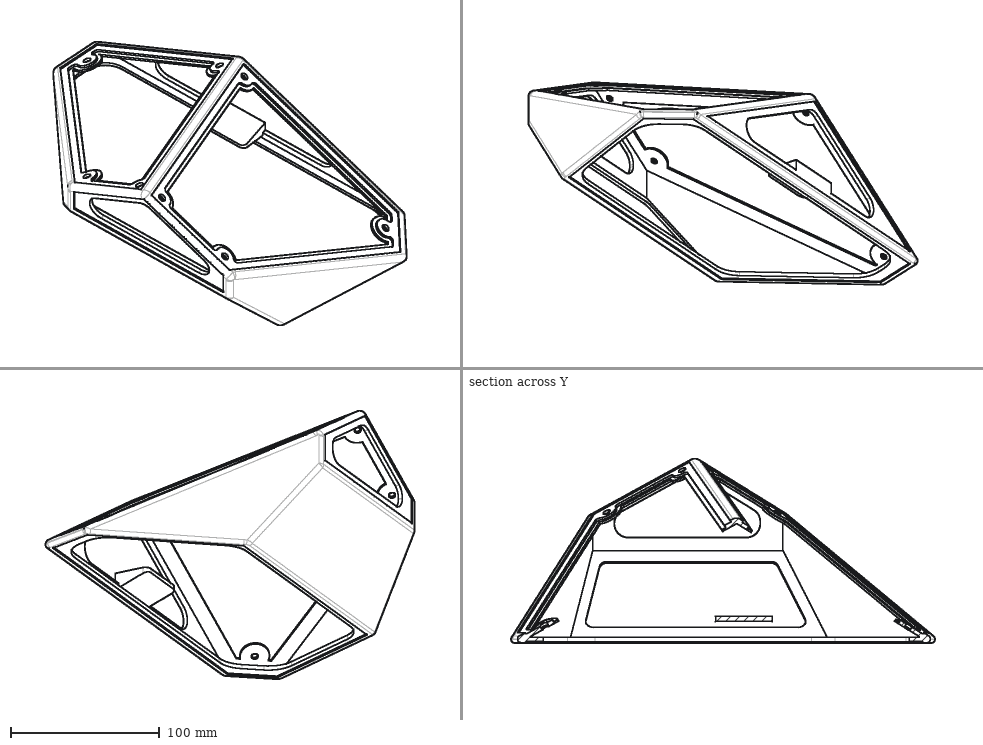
import cadquery as cq
depth = 163.57
skirt_height = 4.2

ridge_front = cq.Vector(162.3, 0, 126.15)
ridge_back = cq.Vector(128.2, depth, 77.6)
left_tip = cq.Vector(-0.47, 126.5, skirt_height)
left_back = cq.Vector(10.0, depth, skirt_height)
left_foot = cq.Vector(69.2, 39.0, 0)
right_tip = cq.Vector(285.66, 132.5, skirt_height)
right_back = cq.Vector(262.0, depth, skirt_height)
right_foot = cq.Vector(248.3, 39.0, 0)
sill_height = 61.0

ridge_radius = 5.0
front_edge_radius = 4.0
edge_radius = 4.5
tip_radius = 2.5
base_radius = 2.5

wall = 4.0
recess_inset = 5.0
recess_depth = 1.0

frame_width = 10.0
ledge_width = 3.0
ledge_depth = 1.5
window_corner_radius = 2.5
boss_radius = 7.0
insert_diameter = 5.12
insert_depth = 2.0
screw_diameter = 4.23
left_screws = [(17.0, 141.0), (118.8, 150.8), (150.8, 10.9), (105.3, 14.4)]
right_screws = [(139.9, 151.4), (263.4, 140.3), (221.2, 12.3), (170.5, 11.1)]

front_window_end_inset = 17.3
opening_radius = 9.0
floor_rim = 9.0
floor_tip_rim = 14.0
floor_corner_radius = 20.0

pocket_depth = 2.0
pocket_corner_radius = 5.0

bracket_center_x = 128.5
bracket_width = 40.0
bracket_reach = 26.0
bracket_top = 18.0
bracket_nose = 3.0
bracket_root = 11.0
bracket_corner_radius = 4.0

far = 1000.0
overcut = 1.0
tolerance = 1e-3


class Face:
    """A bounding plane of the housing: a point on it and its outward normal."""

    def __init__(self, point, normal):
        self.point = point
        self.normal = normal.normalized()

    def height(self, point):
        """Signed distance of a point outside the face."""
        return (point - self.point).dot(self.normal)

    def pushed_in(self, distance):
        return Face(self.point - self.normal * distance, self.normal)

    def plane(self):
        sideways = cq.Vector(0, 0, 1).cross(self.normal)
        if sideways.Length < tolerance:
            sideways = cq.Vector(1, 0, 0)
        return cq.Plane(self.point, sideways, self.normal)


def face_through(a, b, c):
    """The face through three points given counter-clockwise as seen from outside."""
    return Face(a, (b - a).cross(c - a))


up = cq.Vector(0, 0, 1)
faces = {
    "floor": Face(cq.Vector(0, 0, 0), -up),
    "front": Face(cq.Vector(0, 0, 0), cq.Vector(0, -1, 0)),
    "back": Face(cq.Vector(0, depth, 0), cq.Vector(0, 1, 0)),
    "left panel": face_through(ridge_back, left_tip, ridge_front),
    "right panel": face_through(ridge_front, right_tip, ridge_back),
    "left side": Face(left_foot, (left_foot - left_tip).cross(up)),
    "right side": Face(right_foot, (right_tip - right_foot).cross(up)),
    "left tip": Face(left_tip, (left_tip - left_back).cross(up)),
    "right tip": Face(right_tip, (right_back - right_tip).cross(up)),
    "front slope": Face(
        cq.Vector(0, 0, sill_height),
        cq.Vector(0, -sill_height, -left_foot.y),
    ),
}


def outside(face):
    """Everything in front of a face."""
    return cq.Workplane(face.plane()).rect(far, far).extrude(far)


def enclosed(inset):
    """The solid enclosed by all faces after pushing each in by the inset."""
    solid = cq.Workplane().box(far, far, far)
    for face in faces.values():
        solid = solid.cut(outside(face.pushed_in(inset)))
    return solid


def on_face(edge, name):
    return all(abs(faces[name].height(v.Center())) < tolerance for v in edge.Vertices())


def rounded(body, radius, meetings):
    """Round the edges where faces meet; each meeting pairs one group of faces with another."""
    edges = [
        edge
        for edge in body.Edges()
        if any(
            on_face(edge, a) and on_face(edge, b)
            for first_group, second_group in meetings
            for a in first_group
            for b in second_group
            if a != b
        )
    ]
    return body.fillet(radius, edges).Solids()[0]


def outer_body():
    panels = ["left panel", "right panel"]
    sides = ["left side", "right side"]
    tips = ["left tip", "right tip"]
    standing = [name for name in faces if name != "floor"]
    body = enclosed(0).val()
    body = rounded(body, ridge_radius, [(panels, panels)])
    body = rounded(body, front_edge_radius, [(panels, ["front"])])
    body = rounded(
        body,
        edge_radius,
        [
            (sides, ["front", "front slope"] + panels),
            (tips, sides + ["back"]),
            (panels, ["back"]),
            (["front"], ["front slope"]),
        ],
    )
    body = rounded(body, tip_radius, [(tips, panels)])
    body = rounded(body, base_radius, [(["floor"], standing)])
    return cq.Workplane(body)


def border(face, neighbor, rim):
    """The wall square to a face, set in by the rim from the edge it shares with a neighbor."""
    lean = neighbor.normal.dot(face.normal)
    across = (neighbor.normal - face.normal * lean).normalized()
    distance = neighbor.height(face.point) / neighbor.normal.dot(across)
    return Face(face.point - across * distance, across).pushed_in(rim)


def plug(name, rim, top, bottom, wider_rims=None):
    """A prism over a face, inside its rim, between two depths below the face."""
    rims = wider_rims or {}
    face = faces[name]
    solid = cq.Workplane(face.pushed_in(bottom).plane()).rect(far, far).extrude(bottom - top)
    for other, neighbor in faces.items():
        if abs(neighbor.normal.dot(face.normal)) < 1 - tolerance:
            solid = solid.cut(outside(border(face, neighbor, rims.get(other, rim))))
    return solid


def round_corners(solid, name, radius):
    """Round the edges of a plug that run square to its face."""
    return solid.edges(cq.selectors.ParallelDirSelector(faces[name].normal)).fillet(radius)


def screw_point(name, x, y):
    """The point of a face at a plan position."""
    face = faces[name]
    offset = face.normal.x * (x - face.point.x) + face.normal.y * (y - face.point.y)
    return cq.Vector(x, y, face.point.z - offset / face.normal.z)


def posts(name, screws, radius, bottom):
    """Round posts square to a face, one per screw, from the face down to a depth."""
    normal = faces[name].normal
    points = [screw_point(name, x, y) for x, y in screws]
    middle = sum(points, cq.Vector()) / len(points)
    group = cq.Workplane()
    for point in points:
        plane = cq.Plane(point - normal * bottom, point - middle, normal)
        group = group.add(cq.Workplane(plane).circle(radius).extrude(bottom))
    return group.combine()


def cut_side_window(body, name, screws):
    """Cut a window with a ledge that runs around the screw bosses, and the screw holes."""
    normal = faces[name].normal
    ledge_bottom = recess_depth + ledge_depth
    ledge = plug(name, frame_width, 0, ledge_bottom)
    ledge = ledge.cut(posts(name, screws, boss_radius, ledge_bottom))
    ledge = round_corners(ledge, name, window_corner_radius)
    ledge_outline = ledge.faces(cq.selectors.DirectionMinMaxSelector(normal)).val().outerWire()
    opening_outline = ledge_outline.offset2D(-ledge_width)[0]
    opening = cq.Solid.extrudeLinear(opening_outline, [], -normal * (wall + overcut))
    body = body.cut(ledge).cut(cq.Workplane(opening))
    body = body.cut(posts(name, screws, insert_diameter / 2, recess_depth + insert_depth))
    return body.cut(posts(name, screws, screw_diameter / 2, wall + overcut))


def cut_recess(body, name):
    return body.cut(plug(name, recess_inset, -edge_radius, recess_depth))


def cut_opening(body, name, rim, radius, wider_rims=None):
    opening = plug(name, rim, -edge_radius, wall + overcut, wider_rims)
    return body.cut(round_corners(opening, name, radius))


def thin_front_slope(body):
    pocket = plug("front slope", frame_width, wall - pocket_depth, wall + overcut)
    return body.cut(round_corners(pocket, "front slope", pocket_corner_radius))


def bracket():
    """A shelf standing off the back wall over the floor, with a rising underside."""
    rear = depth - recess_depth
    inner = depth - wall
    nose = depth - bracket_reach
    profile = [
        (rear, bracket_top),
        (rear, bracket_top - bracket_root),
        (inner, bracket_top - bracket_root),
        (nose, bracket_top - bracket_nose),
        (nose, bracket_top),
    ]
    start = bracket_center_x - bracket_width / 2
    block = cq.Workplane("YZ", origin=(start, 0, 0)).polyline(profile).close().extrude(bracket_width)
    return block.edges("|Z and <Y").fillet(bracket_corner_radius)


body = outer_body().cut(enclosed(wall))
for plate_face in ["left panel", "right panel", "front", "back", "floor"]:
    body = cut_recess(body, plate_face)
side_windows = {"left panel": left_screws, "right panel": right_screws}
for panel, screws in side_windows.items():
    body = cut_side_window(body, panel, screws)

end_rims = {"left side": front_window_end_inset, "right side": front_window_end_inset}
body = cut_opening(body, "front", frame_width, opening_radius, end_rims)
body = cut_opening(body, "back", frame_width, opening_radius)
tip_rims = {"left tip": floor_tip_rim, "right tip": floor_tip_rim}
body = cut_opening(body, "floor", floor_rim, floor_corner_radius, tip_rims)
body = thin_front_slope(body)

result = body.union(bracket())